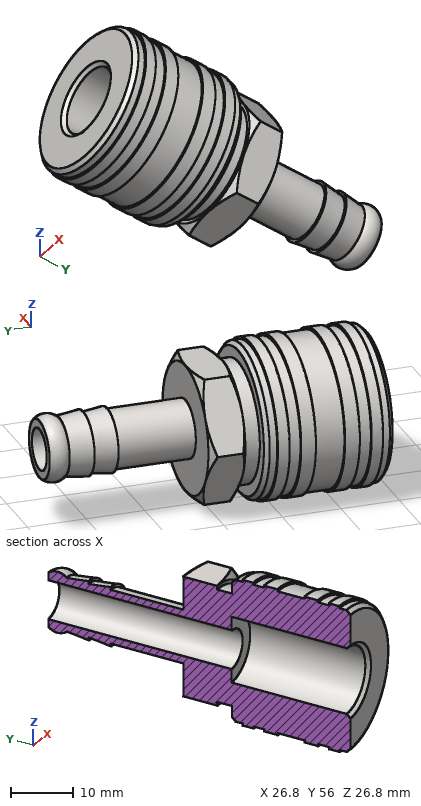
import cadquery as cq
import math

overall_length = 56.0

body_radius = 13.05
body_length = 22.0
body_chamfer = 0.7
band_radius = 13.41
bands = [(2.0, 4.0), (6.0, 8.5), (13.5, 16.0), (18.0, 20.0)]

neck_radius = 10.35
hex_start = 24.7
hex_end = 31.0
hex_across_flats = 22.0
hex_chamfer_angle = 30.0

stem_radius = 5.0
barb_radius = 5.5
barb_length = 4.1
barb_count = 2
lip_radius = 5.65
lip_length = 3.4

socket_radius = 6.0
socket_depth = body_length
socket_chamfer = 0.7
bore_radius = 3.5


def cylinder(radius, start, end):
    """Solid cylinder on the Y axis between two Y positions."""
    return cq.Workplane("XZ", origin=(0, start, 0)).circle(radius).extrude(start - end)


def revolve_profile(profile):
    """Turn a closed (radius, Y) profile about the Y axis."""
    return profile.close().revolve(360, (0, 0, 0), (0, 1, 0))


def make_body():
    body = cylinder(body_radius, 0, body_length).faces("<Y or >Y").chamfer(body_chamfer)
    for start, end in bands:
        body = body.union(cylinder(band_radius, start, end))
    return body


def make_hexagon():
    """Hexagon with corners on the X axis and both ends turned to a cone."""
    flat_radius = hex_across_flats / 2
    corner_radius = flat_radius / math.cos(math.pi / 6)
    cone_length = (corner_radius - flat_radius) * math.tan(math.radians(hex_chamfer_angle))
    prism = (
        cq.Workplane("XZ", origin=(0, hex_start, 0))
        .polygon(6, 2 * corner_radius)
        .extrude(hex_start - hex_end)
    )
    envelope = revolve_profile(
        cq.Workplane("XY").polyline([
            (0, hex_start),
            (flat_radius, hex_start),
            (corner_radius, hex_start + cone_length),
            (corner_radius, hex_end - cone_length),
            (flat_radius, hex_end),
            (0, hex_end),
        ])
    )
    return prism.intersect(envelope)


def make_stem():
    """Plain stem, barbs tapering towards the hose end, and a rounded lip."""
    lip_start = overall_length - lip_length
    barbs_start = lip_start - barb_count * barb_length
    profile = cq.Workplane("XY").moveTo(0, hex_end).lineTo(stem_radius, hex_end)
    profile = profile.lineTo(stem_radius, barbs_start)
    for index in range(barb_count):
        barb_start = barbs_start + index * barb_length
        profile = (
            profile.lineTo(barb_radius, barb_start)
            .lineTo(stem_radius, barb_start + barb_length)
        )
    lip_middle = (lip_radius, lip_start + lip_length / 2)
    profile = profile.threePointArc(lip_middle, (stem_radius, overall_length))
    return revolve_profile(profile.lineTo(0, overall_length))


def make_bores():
    socket = cylinder(socket_radius, 0, socket_depth)
    mouth = revolve_profile(
        cq.Workplane("XY").polyline([
            (0, 0),
            (socket_radius + socket_chamfer, 0),
            (socket_radius, socket_chamfer),
            (0, socket_chamfer),
        ])
    )
    return cylinder(bore_radius, 0, overall_length).union(socket).union(mouth)


neck = cylinder(neck_radius, body_length, hex_start)
result = make_body().union(neck).union(make_hexagon()).union(make_stem()).cut(make_bores())